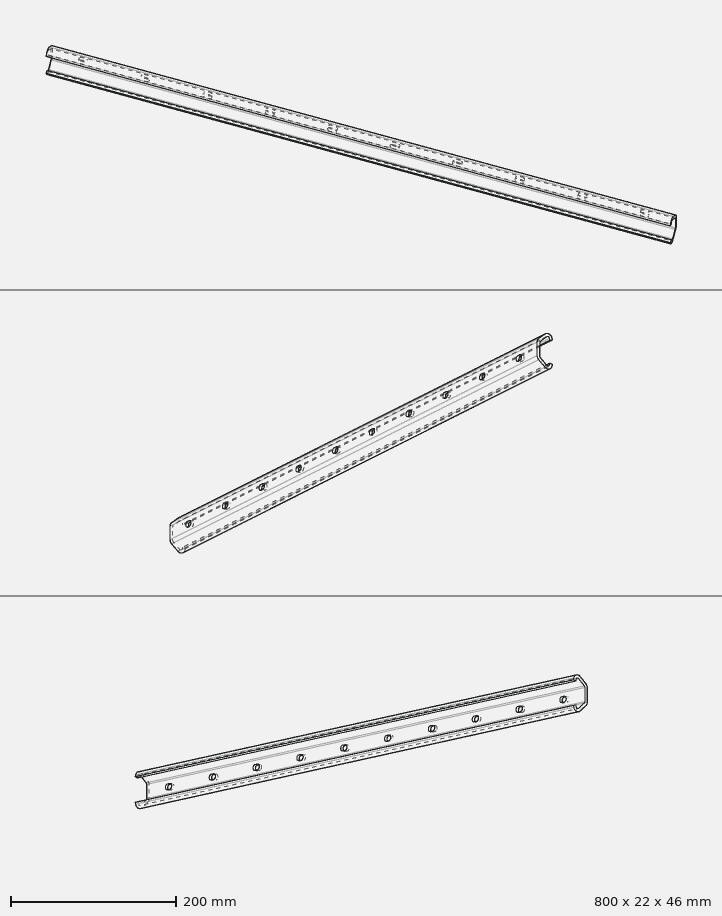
import cadquery as cq
import math

length = 800.0
depth = 22.0
height = 46.0
thickness = 4.0

lip_radius = 6.0
web_bend_radius = 6.0

slope_angle = 50.0

lip_straight = 2.0

lip_angle = 165
web_angle = 0

slot_count = 10
slot_pitch = length / slot_count
slot_length = 11.0
slot_height = 7.0

web_y = depth / 2
lip_cos = math.cos(math.radians(lip_angle))
lip_sin = math.sin(math.radians(lip_angle))
lip_reach = lip_straight * lip_sin - lip_radius * lip_cos
lip_center = (lip_reach - depth / 2, height / 2 - lip_radius)
bend_center_y = web_y - web_bend_radius

slope_cos = math.cos(math.radians(slope_angle))
slope_sin = math.sin(math.radians(slope_angle))
flat_distance = lip_center[0] * slope_cos + lip_center[1] * slope_sin + lip_radius
bend_center_z = (flat_distance - web_bend_radius - bend_center_y * slope_cos) / slope_sin
bend_center = (bend_center_y, bend_center_z)


def arc_point(center, radius, angle, side):
    """Point on a bend; side is 1 for the upper half and -1 for its mirror image."""
    turn = math.radians(angle)
    return (center[0] + radius * math.cos(turn), side * (center[1] + radius * math.sin(turn)))


def add_arc(outline, center, radius, start, end, side):
    middle = arc_point(center, radius, (start + end) / 2, side)
    return outline.threePointArc(middle, arc_point(center, radius, end, side))


def add_skin(outline, inset, side, from_lip):
    """Add one skin of half the section, from lip to web or from web to lip."""
    lip = (lip_center, lip_radius - inset, lip_angle, slope_angle)
    bend = (bend_center, web_bend_radius - inset, slope_angle, web_angle)
    bends = [lip, bend]
    if not from_lip:
        bends = [(c, r, end, start) for c, r, start, end in reversed(bends)]
    for center, radius, start, end in bends:
        outline = outline.lineTo(*arc_point(center, radius, start, side))
        outline = add_arc(outline, center, radius, start, end, side)
    return outline


def lip_end(inset, side):
    """End of a lip's straight part, on the skin lying inset from the outside."""
    y, z = arc_point(lip_center, lip_radius - inset, lip_angle, 1)
    return (y - lip_straight * lip_sin, side * (z + lip_straight * lip_cos))


def make_rail():
    inner_lip = lip_end(thickness, 1)
    outline = cq.Workplane("YZ").workplane(offset=-length / 2).moveTo(*inner_lip)
    outline = outline.lineTo(*lip_end(0, 1))
    outline = add_skin(outline, 0, 1, True)
    outline = add_skin(outline, 0, -1, False)
    outline = outline.lineTo(*lip_end(0, -1)).lineTo(*lip_end(thickness, -1))
    outline = add_skin(outline, thickness, -1, True)
    outline = add_skin(outline, thickness, 1, False)
    return outline.close().extrude(length)


def make_slots():
    return (
        cq.Workplane("XZ", origin=(0, web_y, 0))
        .rarray(slot_pitch, 8, slot_count, 1)
        .slot2D(slot_length, slot_height)
        .extrude(2 * thickness, both=True)
    )


result = make_rail().cut(make_slots())